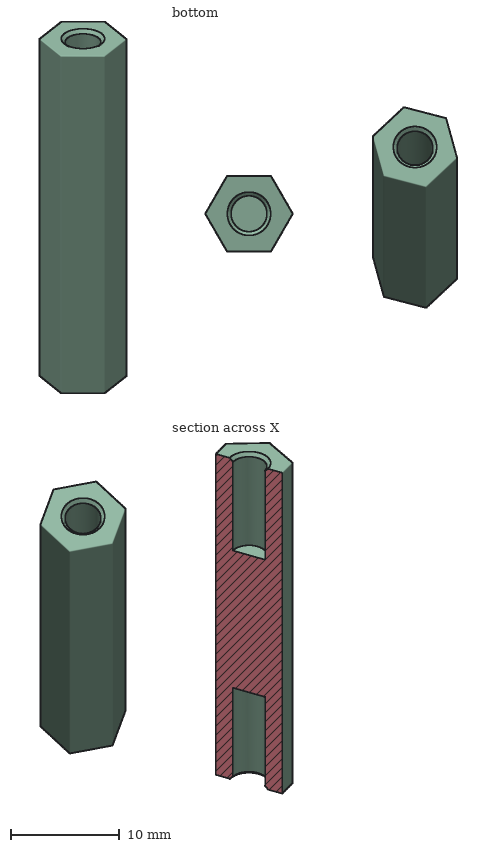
import cadquery as cq
import math

length = 35.0
across_flats = 7.0
edge_radius = 0.1

bore_diameter = 3.3
bore_depth = 10.0
countersink_diameter = 4.0
countersink_depth = (countersink_diameter - bore_diameter) / 2


def hex_body():
    """Hexagonal bar with every edge rounded."""
    across_corners = across_flats / math.cos(math.pi / 6)
    return (
        cq.Workplane("XY")
        .polygon(6, across_corners)
        .extrude(length)
        .edges()
        .fillet(edge_radius)
    )


def bore_cutter(face_z, inward):
    """Bore and countersink that open at face_z and run along Z (inward is +1 or -1)."""
    half_profile = (
        cq.Workplane("XZ")
        .moveTo(0, face_z)
        .lineTo(countersink_diameter / 2, face_z)
        .lineTo(bore_diameter / 2, face_z + inward * countersink_depth)
        .lineTo(bore_diameter / 2, face_z + inward * bore_depth)
        .lineTo(0, face_z + inward * bore_depth)
        .close()
    )
    return half_profile.revolve(360, (0, 0, 0), (0, 1, 0))


result = (
    hex_body()
    .cut(bore_cutter(0, 1))
    .cut(bore_cutter(length, -1))
)